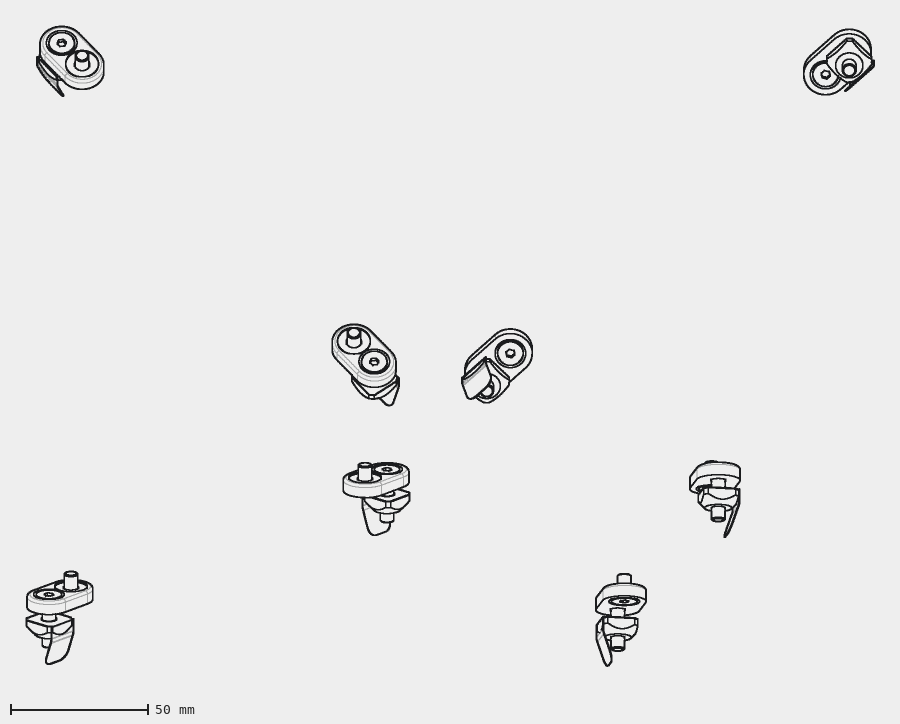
import cadquery as cq
import math


overall_length = 200.0
overall_height = 30.5

plate_width = 16.0
hole_spacing = 12.0
plate_thickness = 5.0
plate_edge_radius = 1.0
clearance_diameter = 5.5
countersink_diameter = 11.2
spot_face_diameter = 12.0
spot_face_depth = 0.5

thread_diameter = 5.0
tip_diameter = 4.2
tip_chamfer = (thread_diameter - tip_diameter) / 2
head_diameter = 9.5
head_rim_height = (countersink_diameter - head_diameter) / 2
socket_flats = 3.0
socket_point_depth = 3.0
clamp_screw_length = 20.0
stud_screw_length = 10.0

clip_gap = 4.5
clip_thickness = 0.3
clip_width = 12.0
clip_wall_height = 4.5
clip_bend_radius = 5.5
clip_bend_angle = math.radians(19)
clip_corner_radius = 3.5
nut_width = 13.0
nut_reach = 10.5
nut_corner_chamfer = 1.5
nut_base_diameter = 10.0
nut_cone_angle = math.radians(47)

clamp_x = (plate_width - overall_length) / 2
stud_x = clamp_x + hole_spacing
clip_top = -clip_gap
nut_top = clip_top - clip_thickness
nut_bottom = -nut_reach
nut_thickness = nut_top - nut_bottom
clip_bottom = stud_screw_length - overall_height


def cylinder(diameter, x, bottom_z, top_z):
    base = cq.Workplane("XY", origin=(x, 0, bottom_z))
    return base.circle(diameter / 2).extrude(top_z - bottom_z)


def right_angle_cone(diameter, top_z):
    """A 90 degree cone on the Z axis, pointing down from a disc at top_z."""
    radius = diameter / 2
    profile = cq.Workplane("XZ").polyline([(0, top_z), (radius, top_z), (0, top_z - radius)])
    return profile.close().revolve()


def place_on_clamp_axis(body):
    """Seat a body whose origin is its head end in the top of the plate."""
    return body.translate((clamp_x, 0, plate_thickness))


def place_on_stud_axis(body):
    """Seat a body whose origin is its head end, upside down, in the bottom of the plate."""
    return body.rotate((0, 0, 0), (1, 0, 0), 180).translate((stud_x, 0, 0))


def make_plate():
    """Rounded plate with opposed countersunk holes and a shallow spot face round the stud."""
    plate = (
        cq.Workplane("XY", origin=((clamp_x + stud_x) / 2, 0, 0))
        .slot2D(hole_spacing + plate_width, plate_width)
        .extrude(plate_thickness)
        .faces(">Z")
        .edges()
        .fillet(plate_edge_radius)
    )
    through_hole = cylinder(clearance_diameter, 0, -plate_thickness, 0)
    countersunk_hole = through_hole.union(right_angle_cone(countersink_diameter, 0))
    plate = plate.cut(place_on_clamp_axis(countersunk_hole))
    plate = plate.cut(place_on_stud_axis(countersunk_hole))
    spot_face_floor = plate_thickness - spot_face_depth
    return plate.cut(cylinder(spot_face_diameter, stud_x, spot_face_floor, plate_thickness))


def make_screw(length):
    """Countersunk screw pointing down from Z = 0, with a hexagon socket ending in a drill point."""
    shank = cylinder(thread_diameter, 0, -length, 0).faces("<Z").chamfer(tip_chamfer)
    rim = cylinder(head_diameter, 0, -head_rim_height, 0)
    head = rim.union(right_angle_cone(head_diameter, -head_rim_height))
    socket_corners = socket_flats / math.cos(math.pi / 6)
    hexagon = cq.Workplane("XY").polygon(6, socket_corners).extrude(-socket_point_depth)
    socket = hexagon.intersect(right_angle_cone(2 * socket_point_depth, 0))
    return shank.union(head).cut(socket)


def make_clamp_screw():
    return place_on_clamp_axis(make_screw(clamp_screw_length))


def make_stud_screw():
    return place_on_stud_axis(make_screw(stud_screw_length))


def square_with_cut_corners(bottom_z, height):
    return (
        cq.Workplane("XY", origin=(clamp_x, 0, bottom_z))
        .rect(nut_width, nut_width)
        .extrude(height)
        .edges("|Z")
        .chamfer(nut_corner_chamfer)
    )


def make_nut():
    """Square nut whose lower corners are turned off to a cone."""
    base_radius = nut_base_diameter / 2
    top_radius = base_radius + nut_thickness / math.tan(nut_cone_angle)
    turned = (
        cq.Workplane("XZ")
        .polyline([(0, nut_bottom), (base_radius, nut_bottom), (top_radius, nut_top), (0, nut_top)])
        .close()
        .revolve()
        .translate((clamp_x, 0, 0))
    )
    nut = square_with_cut_corners(nut_bottom, nut_thickness).intersect(turned)
    return nut.cut(cylinder(thread_diameter, clamp_x, nut_bottom, nut_top))


def make_clip():
    """Sheet clip: a flat on top of the nut, a wall down its -Y side and a leg bent inward."""
    inner_y = -nut_width / 2
    outer_y = inner_y - clip_thickness
    bend_start_z = clip_top - clip_wall_height
    bend_centre_y = outer_y + clip_bend_radius
    inner_bend_radius = clip_bend_radius - clip_thickness

    def on_bend(radius, angle):
        return bend_centre_y - radius * math.cos(angle), bend_start_z - radius * math.sin(angle)

    outer_bend_end = on_bend(clip_bend_radius, clip_bend_angle)
    inner_bend_end = on_bend(inner_bend_radius, clip_bend_angle)
    leg_drop = outer_bend_end[1] - clip_bottom
    leg_shift = leg_drop * math.tan(clip_bend_angle)

    strip = (
        cq.Workplane("YZ", origin=(clamp_x, 0, 0))
        .moveTo(inner_y, clip_top)
        .radiusArc((outer_y, nut_top), -clip_thickness)
        .lineTo(outer_y, bend_start_z)
        .threePointArc(on_bend(clip_bend_radius, clip_bend_angle / 2), outer_bend_end)
        .line(leg_shift, -leg_drop)
        .lineTo(inner_bend_end[0] + leg_shift, inner_bend_end[1] - leg_drop)
        .lineTo(*inner_bend_end)
        .threePointArc(on_bend(inner_bend_radius, clip_bend_angle / 2), on_bend(inner_bend_radius, 0))
        .lineTo(inner_y, clip_top)
        .close()
        .extrude(clip_width / 2, both=True)
    )
    strip = strip.faces("<Z").edges("not |X").fillet(clip_corner_radius)
    flat = square_with_cut_corners(nut_top, clip_thickness)
    screw_hole = cylinder(clearance_diameter, clamp_x, nut_top, clip_top)
    return strip.union(flat).cut(screw_hole)


bodies = []
for make_body in (make_plate, make_clamp_screw, make_stud_screw, make_nut, make_clip):
    body = make_body()
    for turn in (0, 180):
        bodies.append(body.rotate((0, 0, 0), (0, 0, 1), turn).val())

result = cq.Compound.makeCompound(bodies)